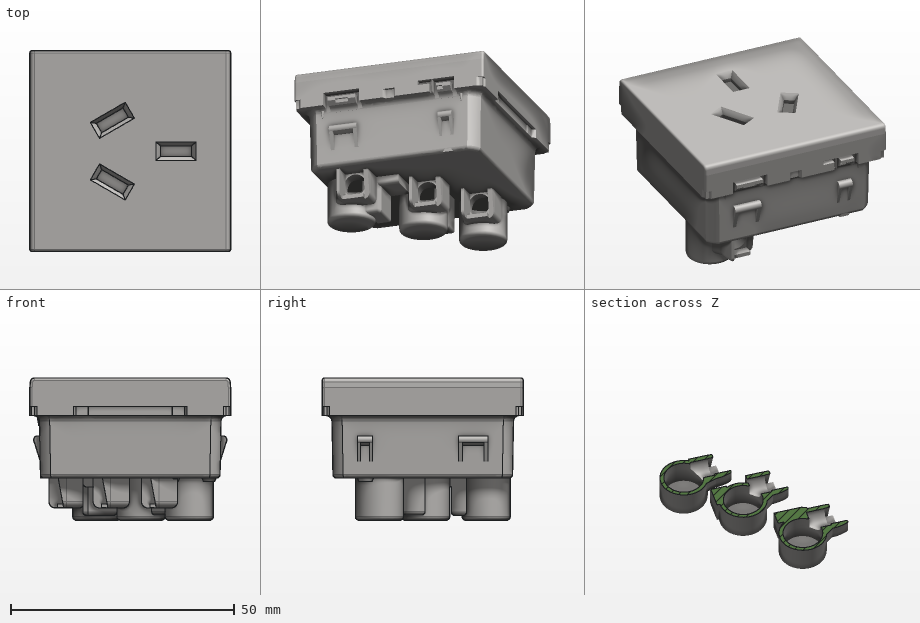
import cadquery as cq
import math


CAP_WIDTH = 45.0
CAP_HALF = CAP_WIDTH / 2
CAP_DEPTH = 8.45
CAP_SLOPE_INSET = 0.2
CAP_SLOPE_HEIGHT = 2.2
CAP_SIDE_ROUND = 1.0
CAP_EDGE_ROUND = 0.55

RIM_HEIGHT = 2.0
RIM_SLANT = 0.5
CORNER_NOTCH_LENGTH = 1.6
CORNER_NOTCH_DEPTH = 0.4
SIDE_NOTCH_WIDTH = 2.9
SIDE_NOTCH_DEPTH = 0.8
FRONT_RECESS_WIDTH = 25.3
FRONT_RECESS_DEPTH = 0.9
FRONT_PANEL_WIDTH = 19.75
FRONT_PANEL_EXTRA_DEPTH = 0.2

OPENING_LENGTH = 9.0
OPENING_WIDTH = 4.1
OPENING_END_INSET = 1.05
OPENING_SIDE_INSET = 0.85
OPENING_LEAD_DEPTH = 1.3
OPENING_DEPTH = 2.2
EARTH_OFFSET = 10.25
LINE_PIN_X = -4.0
LINE_PIN_Y = 6.9
LINE_PIN_ANGLE = 30.0

BODY_HALF = 20.35
BODY_BOTTOM = 22.45
BODY_DRAFT = 1.0
BODY_CORNER = 2.3
BODY_CORNER_BULGE = 0.15
BODY_BOTTOM_ROUND = 0.9
FLARE_RADIUS = 1.25
FLARE_PLATE_MARGIN = FLARE_RADIUS + 0.1
JOINT_MARGIN = 0.1
FLARE_BOTTOM = CAP_DEPTH + FLARE_RADIUS
BODY_FOOT_HALF = BODY_HALF - (BODY_BOTTOM - CAP_DEPTH) * math.tan(math.radians(BODY_DRAFT))

LATCHES = [(11.3, 6.5), (-12.9, 3.3)]
HOOK_RIB_WIDTHS = [0.85, 0.65]
HOOK_TIP_X = 21.6
HOOK_TOP = 12.95
HOOK_TOP_X = 20.9
HOOK_TIP_DEPTH = 13.7
HOOK_SLOPE_X = 21.45
HOOK_SLOPE_DEPTH = 14.5
HOOK_LIP_BOTTOM = 15.1
HOOK_BOTTOM = 18.8
TAB_FRAME = 1.03
TAB_TOP = 5.55
TAB_BOTTOM = FLARE_BOTTOM + 0.1
CATCH_TOP = TAB_TOP + 1.1
CATCH_X = CAP_HALF - 0.1
CATCH_FACE_BOTTOM = 7.5
CATCH_NECK_X = 21.5
CATCH_NOTCH_TOP = 7.25
CATCH_NOTCH_DEPTH = 0.5
CATCH_NOTCH_SPANS = [(9.8, 12.8), (-12.7, -11.25)]
SLOT_START_Y = -6.9
SLOT_END_Y = -10.2
SLOT_HEIGHT = 1.0
SLOT_DEPTH = 1.5
SLOT_LEG_WIDTH = 0.6
PEG_Y = 16.45
PEG_RADIUS = 0.4
PEG_TIP_RADIUS = 0.13
PEG_TOP = 9.1
PEG_BOTTOM = 10.7

TERMINAL_BOTTOM = 31.9
CYLINDER_RADIUS = 5.4
CYLINDER_ROUND = 0.9
TERMINALS = [(-7.5, 14.2, 10.97), (2.4, 0.66, -2.66), (13.2, -9.7, -11.15)]
ENTRY_START = 10.7
ENTRY_END = 2.6
ENTRY_WIDTH = 7.6
ENTRY_BOTTOM = 29.1
ENTRY_ROUND = 1.4
ENTRY_NEAR_WALL = 1.15
ENTRY_FAR_WALL = 1.6
ENTRY_NEAR_CURL = 0.7
ENTRY_FAR_CURL = 0.9
ENTRY_FLOOR = 0.9
ENTRY_FLOOR_SETBACK = 1.9
ENTRY_CORE_SETBACK = 3.9
ENTRY_SPREAD = 3.8
LIP_SLANT = 1.4
BORE_RADIUS = 2.58
BORE_DEPTH = 25.3
CAVITY_RADIUS = 4.4
CAVITY_FLOOR = 0.9

BLOCK_X = (-10.6, -3.0)
POST_Y = (6.4, 9.8)
POST_BOTTOM = 30.8
POST_CHAMFER_ALONG_X = 1.1
POST_CHAMFER_ALONG_Y = 0.5
BAR_Y = (1.9, 7.0)
BAR_BOTTOM = 24.4
KEY_X = (4.8, 8.5)
KEY_Y = (-4.6, 0.5)
KEY_BOTTOM = 30.7
BLOCK_ROUND = 0.8

CONES = [(10.06, -13.6, 1.9, 1.1), (17.2, -12.6, 2.4, 1.7)]
CONE_BOTTOM = BODY_BOTTOM + 0.75

PAD_Y = -13.2
PAD_TOP_WIDTH = 1.2
PAD_BOTTOM_WIDTH = 2.4
PAD_THICKNESS = 1.0

ROOT_OVERLAP = 1.0
OVERLAP_DEPTH = BODY_BOTTOM - ROOT_OVERLAP


def box_between(x_range, y_range, depth_range):
    """Box from X and Y limits and two depths below the cap's top."""
    (x0, x1), (y0, y1), (d0, d1) = x_range, y_range, depth_range
    return cq.Workplane("XY").box(x1 - x0, y1 - y0, d1 - d0, centered=False).translate((x0, y0, -d1))


def make_cap():
    top_half = CAP_HALF - CAP_SLOPE_INSET
    profile = [
        (-CAP_HALF, -CAP_DEPTH),
        (-CAP_HALF, -CAP_SLOPE_HEIGHT),
        (-top_half, 0),
        (top_half, 0),
        (CAP_HALF, -CAP_SLOPE_HEIGHT),
        (CAP_HALF, -CAP_DEPTH),
    ]
    cap = cq.Workplane("XZ").polyline(profile).close().extrude(CAP_HALF, both=True)
    cap = cap.faces(">Z").edges("|Y").fillet(CAP_SIDE_ROUND)
    return cap.faces("<Y or >Y").edges("not <Z").fillet(CAP_EDGE_ROUND)


def rim_recess(width, depth):
    """Cutter for a slant-ended recess in the front (-Y) rim, centred on X = 0."""
    half = width / 2
    inner = half - RIM_SLANT
    outline = [
        (-half, -CAP_HALF),
        (-inner, -CAP_HALF + depth),
        (inner, -CAP_HALF + depth),
        (half, -CAP_HALF),
    ]
    rim_bottom = cq.Workplane("XY").workplane(offset=-CAP_DEPTH)
    return rim_bottom.polyline(outline).close().extrude(RIM_HEIGHT)


def corner_notch():
    """Cutter that steps both faces of the (-X, -Y) corner inwards."""
    outer = -CAP_HALF
    inner = outer + CORNER_NOTCH_DEPTH
    far = outer + CORNER_NOTCH_LENGTH
    outline = [
        (outer, outer),
        (far, outer),
        (far - RIM_SLANT, inner),
        (inner, inner),
        (inner, far - RIM_SLANT),
        (outer, far),
    ]
    rim_bottom = cq.Workplane("XY").workplane(offset=-CAP_DEPTH)
    return rim_bottom.polyline(outline).close().extrude(RIM_HEIGHT)


def body_outline(plane, half):
    """Square outline whose corners are shallow arcs."""
    near = half - BODY_CORNER
    middle = half - BODY_CORNER / 2 + BODY_CORNER_BULGE
    return (
        plane.moveTo(near, -half)
        .threePointArc((middle, -middle), (half, -near))
        .lineTo(half, near)
        .threePointArc((middle, middle), (near, half))
        .lineTo(-near, half)
        .threePointArc((-middle, middle), (-half, near))
        .lineTo(-half, -near)
        .threePointArc((-middle, -middle), (-near, -half))
        .close()
    )


def make_body():
    """Drafted box that flares out where it meets the cap."""
    rim_bottom = cq.Workplane("XY").workplane(offset=-CAP_DEPTH)
    at_bottom = body_outline(rim_bottom, BODY_HALF).workplane(offset=CAP_DEPTH - BODY_BOTTOM)
    box = body_outline(at_bottom, BODY_FOOT_HALF).loft(ruled=True)
    box = box.faces("<Z").edges().fillet(BODY_BOTTOM_ROUND)
    plate = body_outline(rim_bottom, BODY_HALF + FLARE_PLATE_MARGIN).extrude(RIM_HEIGHT)
    body = box.union(plate)
    reach = BODY_HALF + FLARE_PLATE_MARGIN / 2
    around_joint = cq.selectors.BoxSelector(
        (-reach, -reach, -CAP_DEPTH - JOINT_MARGIN),
        (reach, reach, -CAP_DEPTH + JOINT_MARGIN),
        boundingbox=True,
    )
    return body.edges(around_joint).fillet(FLARE_RADIUS)


def plug_opening(x, y, angle):
    """Cutter for one tapered plug opening."""
    inner_length = OPENING_LENGTH - 2 * OPENING_END_INSET
    inner_width = OPENING_WIDTH - 2 * OPENING_SIDE_INSET
    lead = (
        cq.Workplane("XY")
        .rect(OPENING_LENGTH, OPENING_WIDTH)
        .workplane(offset=-OPENING_LEAD_DEPTH)
        .rect(inner_length, inner_width)
        .loft()
    )
    shaft = cq.Workplane("XY").rect(inner_length, inner_width).extrude(-OPENING_DEPTH)
    return lead.union(shaft).rotate((0, 0, 0), (0, 0, 1), angle).translate((x, y, 0))


def latch_hook(y, width, rib_width):
    """Snap hook on the -X wall: a full-width lip carried by two ribs."""
    root = -BODY_FOOT_HALF + ROOT_OVERLAP
    hook = (
        cq.Workplane("XZ")
        .moveTo(root, -HOOK_TOP)
        .lineTo(-HOOK_TOP_X, -HOOK_TOP)
        .threePointArc((-HOOK_TIP_X, -HOOK_TIP_DEPTH), (-HOOK_SLOPE_X, -HOOK_SLOPE_DEPTH))
        .lineTo(-BODY_FOOT_HALF, -HOOK_BOTTOM)
        .lineTo(root, -HOOK_BOTTOM)
        .close()
        .extrude(width / 2, both=True)
    )
    gap_profile = [
        (-CAP_HALF, -HOOK_SLOPE_DEPTH),
        (-HOOK_SLOPE_X, -HOOK_SLOPE_DEPTH),
        (-BODY_HALF, -HOOK_LIP_BOTTOM),
        (root, -HOOK_LIP_BOTTOM),
        (root, -HOOK_BOTTOM),
        (-CAP_HALF, -HOOK_BOTTOM),
    ]
    gap = cq.Workplane("XZ").polyline(gap_profile).close().extrude(width / 2 - rib_width, both=True)
    return hook.cut(gap).translate((0, y, 0))


def tab_clearance(y, width):
    """Cutter that bares the body's latch tab through the cap's side wall."""
    half = width / 2 + TAB_FRAME
    return box_between((-CAP_HALF, -BODY_HALF), (y - half, y + half), (TAB_TOP, TAB_BOTTOM))


def tab_catch(y, width, notch_span):
    """Catch that stands through the latch tab, with a small notch in its lower edge."""
    root = -BODY_HALF + ROOT_OVERLAP
    flare_middle = FLARE_RADIUS * (1 - math.sqrt(0.5))
    catch = (
        cq.Workplane("XZ", origin=(0, y, 0))
        .moveTo(root, -CATCH_TOP)
        .lineTo(-CATCH_X, -CATCH_TOP)
        .lineTo(-CATCH_X, -CATCH_FACE_BOTTOM)
        .lineTo(-CATCH_NECK_X, -CAP_DEPTH)
        .threePointArc(
            (-BODY_HALF - flare_middle, -CAP_DEPTH - flare_middle), (-BODY_HALF, -FLARE_BOTTOM)
        )
        .lineTo(root, -FLARE_BOTTOM)
        .close()
        .extrude(width / 2, both=True)
    )
    notch_x = (-CATCH_X, -CATCH_X + CATCH_NOTCH_DEPTH)
    notch = box_between(notch_x, notch_span, (CATCH_NOTCH_TOP, CAP_DEPTH))
    return catch.cut(notch)


def side_slot():
    """Cutter for the L-shaped slot beside the narrow latch tab."""
    x_range = (-CAP_HALF, -CAP_HALF + SLOT_DEPTH)
    arm = box_between(x_range, (SLOT_END_Y, SLOT_START_Y), (TAB_TOP, TAB_TOP + SLOT_HEIGHT))
    leg = box_between(x_range, (SLOT_END_Y, SLOT_END_Y + SLOT_LEG_WIDTH), (TAB_TOP, CAP_DEPTH))
    return arm.union(leg)


def flare_peg(y):
    """Small pointed peg standing out of the flare on the -X side."""
    top = cq.Workplane("XY").workplane(offset=-PEG_TOP).center(-BODY_HALF, y)
    return top.circle(PEG_RADIUS).workplane(offset=PEG_TOP - PEG_BOTTOM).circle(PEG_TIP_RADIUS).loft()


def terminal_cylinder(x, y):
    start = cq.Workplane("XY").workplane(offset=-OVERLAP_DEPTH).center(x, y)
    post = start.circle(CYLINDER_RADIUS).extrude(OVERLAP_DEPTH - TERMINAL_BOTTOM)
    return post.faces("<Z").edges().fillet(CYLINDER_ROUND)


def wire_entry(cylinder_x, cylinder_y, y):
    """Open-fronted channel that leads a wire into its terminal cylinder."""
    start = cylinder_x - ENTRY_START
    end = cylinder_x - ENTRY_END
    floor_start = start + ENTRY_FLOOR_SETBACK
    core_start = start + ENTRY_CORE_SETBACK
    y_low = y - ENTRY_WIDTH / 2
    y_high = y + ENTRY_WIDTH / 2
    curl_x = (start + core_start) / 2
    far_curl_y = y_high - ENTRY_FAR_CURL / 4
    near_curl_y = y_low + ENTRY_NEAR_CURL / 4
    entry = (
        cq.Workplane("XY")
        .workplane(offset=-OVERLAP_DEPTH)
        .moveTo(end, y_low)
        .lineTo(end, cylinder_y + ENTRY_SPREAD)
        .lineTo(core_start, y_high)
        .threePointArc((curl_x, far_curl_y), (start, y_high - ENTRY_FAR_CURL))
        .lineTo(start, y_low + ENTRY_NEAR_CURL)
        .threePointArc((curl_x, near_curl_y), (core_start, y_low))
        .close()
        .extrude(OVERLAP_DEPTH - ENTRY_BOTTOM)
    )
    entry = entry.faces("<Z").edges().fillet(ENTRY_ROUND)

    open_front = box_between(
        (start, floor_start),
        (y_low, y_high - ENTRY_FAR_WALL),
        (OVERLAP_DEPTH, ENTRY_BOTTOM),
    )
    mouth = box_between(
        (start, core_start),
        (y_low + ENTRY_NEAR_WALL, y_high - ENTRY_FAR_WALL),
        (OVERLAP_DEPTH, ENTRY_BOTTOM - ENTRY_FLOOR),
    )
    slant = [
        (floor_start, -OVERLAP_DEPTH),
        (floor_start, -ENTRY_BOTTOM),
        (floor_start + LIP_SLANT, -ENTRY_BOTTOM),
    ]
    lip_slant = cq.Workplane("XZ", origin=(0, y_low, 0)).polyline(slant).close().extrude(-ENTRY_NEAR_WALL)
    return entry.cut(open_front).cut(mouth).cut(lip_slant)


def terminal_hollow(cylinder_x, cylinder_y, entry_y):
    """Cutter for the wire bore and the cavity it opens into."""
    bore_start = cylinder_x - ENTRY_START + ENTRY_CORE_SETBACK
    bore_mouth = cq.Workplane("YZ", origin=(bore_start, entry_y, -BORE_DEPTH))
    bore = bore_mouth.circle(BORE_RADIUS).extrude(ENTRY_START - ENTRY_CORE_SETBACK - ENTRY_END)
    cavity_top = cq.Workplane("XY").workplane(offset=-BODY_BOTTOM).center(cylinder_x, cylinder_y)
    cavity = cavity_top.circle(CAVITY_RADIUS).extrude(BODY_BOTTOM - TERMINAL_BOTTOM + CAVITY_FLOOR)
    return bore.union(cavity)


def divider_post():
    post = box_between(BLOCK_X, POST_Y, (OVERLAP_DEPTH, POST_BOTTOM))
    (x0, x1), (y0, y1) = BLOCK_X, POST_Y
    corner = [(x0, y0), (x0 + POST_CHAMFER_ALONG_X, y0), (x0, y0 + POST_CHAMFER_ALONG_Y)]
    corner_cut = cq.Workplane("XY").polyline(corner).close().extrude(-POST_BOTTOM)
    return post.cut(corner_cut).faces("<Z").edges().fillet(BLOCK_ROUND)


def divider_bar():
    bar = box_between(BLOCK_X, BAR_Y, (OVERLAP_DEPTH, BAR_BOTTOM))
    return bar.edges("<X and <Z").fillet(BLOCK_ROUND)


def cylinder_key():
    key = box_between(KEY_X, KEY_Y, (OVERLAP_DEPTH, KEY_BOTTOM))
    return key.faces("<Z").edges().fillet(BLOCK_ROUND)


def shallow_cone(x, y, top_radius, tip_radius):
    top = cq.Workplane("XY").workplane(offset=-BODY_BOTTOM + BODY_BOTTOM_ROUND).center(x, y)
    height = CONE_BOTTOM - BODY_BOTTOM + BODY_BOTTOM_ROUND
    return top.circle(top_radius).workplane(offset=-height).circle(tip_radius).loft()


def edge_pad():
    top = BODY_BOTTOM_ROUND - BODY_BOTTOM
    profile = [
        (PAD_Y - PAD_TOP_WIDTH / 2, top),
        (PAD_Y + PAD_TOP_WIDTH / 2, top),
        (PAD_Y + PAD_BOTTOM_WIDTH / 2, -BODY_BOTTOM),
        (PAD_Y - PAD_BOTTOM_WIDTH / 2, -BODY_BOTTOM),
    ]
    plane = cq.Workplane("YZ", origin=(-BODY_FOOT_HALF, 0, 0))
    return plane.polyline(profile).close().extrude(PAD_THICKNESS)


result = make_cap().union(make_body())

for turn in range(4):
    result = result.cut(corner_notch().rotate((0, 0, 0), (0, 0, 1), 90 * turn))
result = result.cut(rim_recess(FRONT_RECESS_WIDTH, FRONT_RECESS_DEPTH))
result = result.cut(rim_recess(FRONT_PANEL_WIDTH, FRONT_RECESS_DEPTH + FRONT_PANEL_EXTRA_DEPTH))
result = result.cut(rim_recess(SIDE_NOTCH_WIDTH, SIDE_NOTCH_DEPTH).rotate((0, 0, 0), (0, 0, 1), -90))

result = result.cut(plug_opening(EARTH_OFFSET, 0, 0))
for side in (1, -1):
    result = result.cut(plug_opening(LINE_PIN_X, side * LINE_PIN_Y, side * LINE_PIN_ANGLE))

result = result.cut(side_slot())
for (latch_y, latch_width), rib_width, notch_span in zip(LATCHES, HOOK_RIB_WIDTHS, CATCH_NOTCH_SPANS):
    hook = latch_hook(latch_y, latch_width, rib_width)
    result = result.union(hook).union(hook.mirror("YZ"))
    result = result.cut(tab_clearance(latch_y, latch_width))
    result = result.union(tab_catch(latch_y, latch_width, notch_span))
for side in (1, -1):
    result = result.union(flare_peg(side * PEG_Y))

for cone in CONES:
    result = result.union(shallow_cone(*cone))
for block in (edge_pad(), divider_post(), divider_bar(), cylinder_key()):
    result = result.union(block)
for cylinder_x, cylinder_y, entry_y in TERMINALS:
    result = result.union(terminal_cylinder(cylinder_x, cylinder_y))
    result = result.union(wire_entry(cylinder_x, cylinder_y, entry_y))
for terminal in TERMINALS:
    result = result.cut(terminal_hollow(*terminal))